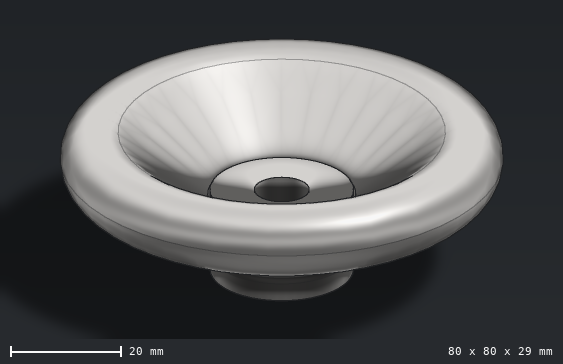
import cadquery as cq
import math

outer_radius = 40.0
rim_tube_radius = 6.5
overall_height = 29.0
hub_radius = 13.0
hub_height = 16.0
bore_radius = 5.0
cone_angle = 37.5
web_hub_height = 4.4
web_hub_fillet = 2.0
bowl_top_radius = 29.5
bowl_floor_radius = 13.4

rim_center_radius = outer_radius - rim_tube_radius
rim_center_height = overall_height - rim_tube_radius
cone_slope = math.tan(math.radians(cone_angle))
bowl_top_height = rim_center_height + math.sqrt(
    rim_tube_radius**2 - (rim_center_radius - bowl_top_radius) ** 2
)
bowl_floor_height = bowl_top_height - (bowl_top_radius - bowl_floor_radius) * cone_slope
web_end_height = web_hub_height + (rim_center_radius - hub_radius) * cone_slope


def make_rim():
    """Round grip ring around the Z axis."""
    tube = cq.Workplane("XZ").center(rim_center_radius, rim_center_height).circle(rim_tube_radius)
    return tube.revolve(360, (-rim_center_radius, 0), (-rim_center_radius, 1))


def make_web_and_hub():
    """Conical web, hub and bore; the web ends inside the rim tube."""
    turn = math.radians(90 - cone_angle)
    tangent_length = web_hub_fillet * math.tan(turn / 2)
    arc_start_height = web_hub_height - tangent_length
    arc_center_radius = hub_radius + web_hub_fillet

    def arc_point(angle):
        return (
            arc_center_radius - web_hub_fillet * math.cos(angle),
            arc_start_height + web_hub_fillet * math.sin(angle),
        )

    section = (
        cq.Workplane("XZ")
        .moveTo(bore_radius, 0)
        .lineTo(hub_radius, 0)
        .lineTo(hub_radius, arc_start_height)
        .threePointArc(arc_point(turn / 2), arc_point(turn))
        .lineTo(rim_center_radius, web_end_height)
        .lineTo(bowl_top_radius, bowl_top_height)
        .lineTo(bowl_floor_radius, bowl_floor_height)
        .lineTo(hub_radius, bowl_floor_height)
        .lineTo(hub_radius, hub_height)
        .lineTo(bore_radius, hub_height)
        .close()
    )
    return section.revolve(360, (0, 0), (0, 1))


result = make_rim().union(make_web_and_hub())